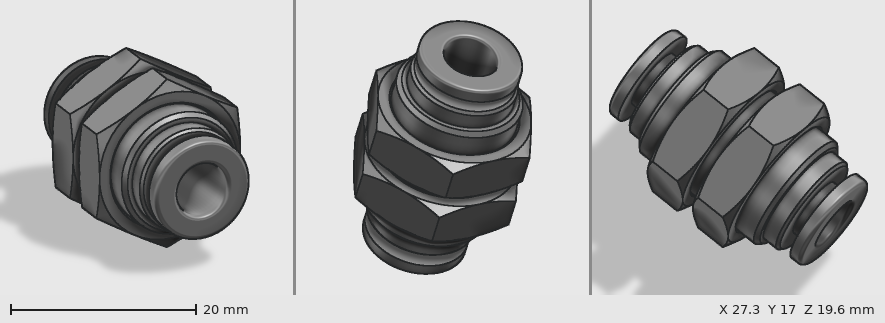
import cadquery as cq
import math


length = 27.3
half_length = length / 2
collar_width = 1.5
sleeve_inset = 3.0
barrel_inset = 5.1

collar_dia = 11.5
neck_dia = 7.0
sleeve_dia = 11.95
barrel_dia = 14.05

collar_round = 0.5
sleeve_chamfer = 0.33
barrel_chamfer = 0.5

socket_dia = 6.0
socket_depth = 10.92
socket_round = 0.5
through_dia = 4.0

across_flats = 17.0
nut_width = 5.0
nut_gap = 1.42
corner_bevel_angle = 30.0
countersink = 0.22
across_corners = across_flats / math.cos(math.pi / 6)

smallest_circle = cq.selectors.RadiusNthSelector(0)


def centred_cylinder(diameter, full_length):
    """Cylinder along X, centred on the origin."""
    return cq.Workplane("YZ").circle(diameter / 2).extrude(full_length / 2, both=True)


def make_collar(side):
    """Release collar at one end (side is -1 or 1), with a rounded outer rim."""
    collar = cq.Workplane("YZ").circle(collar_dia / 2).extrude(side * collar_width)
    collar = collar.faces("<X" if side < 0 else ">X").edges().fillet(collar_round)
    return collar.translate((side * (half_length - collar_width), 0, 0))


def cut_sockets(body):
    """Bore the through hole and both tube sockets, then round the socket mouths."""
    body = body.cut(centred_cylinder(through_dia, length))
    for end_face in ("<X", ">X"):
        end_plane = body.faces(end_face).workplane(origin=(0, 0, 0))
        body = end_plane.circle(socket_dia / 2).cutBlind(-socket_depth)
        body = body.faces(end_face).edges(smallest_circle).fillet(socket_round)
    return body


def make_fitting():
    """Stepped barrel, sleeves, necks and collars as one turned body."""
    barrel = centred_cylinder(barrel_dia, length - 2 * barrel_inset)
    barrel = barrel.faces("<X or >X").edges().chamfer(barrel_chamfer)
    sleeve = centred_cylinder(sleeve_dia, length - 2 * sleeve_inset)
    sleeve = sleeve.faces("<X or >X").edges().chamfer(sleeve_chamfer)
    neck = centred_cylinder(neck_dia, length - 2 * collar_width)
    body = barrel.union(sleeve).union(neck)
    for side in (-1, 1):
        body = body.union(make_collar(side))
    return cut_sockets(body)


def make_nut(center_x):
    """Hexagonal nut with corners at +Z and -Z, bevelled and countersunk on both faces."""
    hexagon = (
        cq.Workplane("YZ")
        .transformed(rotate=(0, 0, 90))
        .polygon(6, across_corners)
        .extrude(nut_width / 2, both=True)
    )

    bevel_height = (across_corners - across_flats) / 2
    bevel_width = bevel_height * math.tan(math.radians(corner_bevel_angle))
    envelope = centred_cylinder(across_corners, nut_width)
    envelope = envelope.faces("<X").edges().chamfer(bevel_width, bevel_height)
    envelope = envelope.faces(">X").edges().chamfer(bevel_width, bevel_height)
    nut = hexagon.intersect(envelope)

    nut = nut.cut(centred_cylinder(barrel_dia, nut_width))
    nut = nut.faces("<X or >X").edges(smallest_circle).chamfer(countersink)
    return nut.translate((center_x, 0, 0))


fitting = make_fitting()

nut_offset = (nut_gap + nut_width) / 2
nuts = [make_nut(side * nut_offset) for side in (-1, 1)]

result = cq.Compound.makeCompound([fitting.val(), *[nut.val() for nut in nuts]])